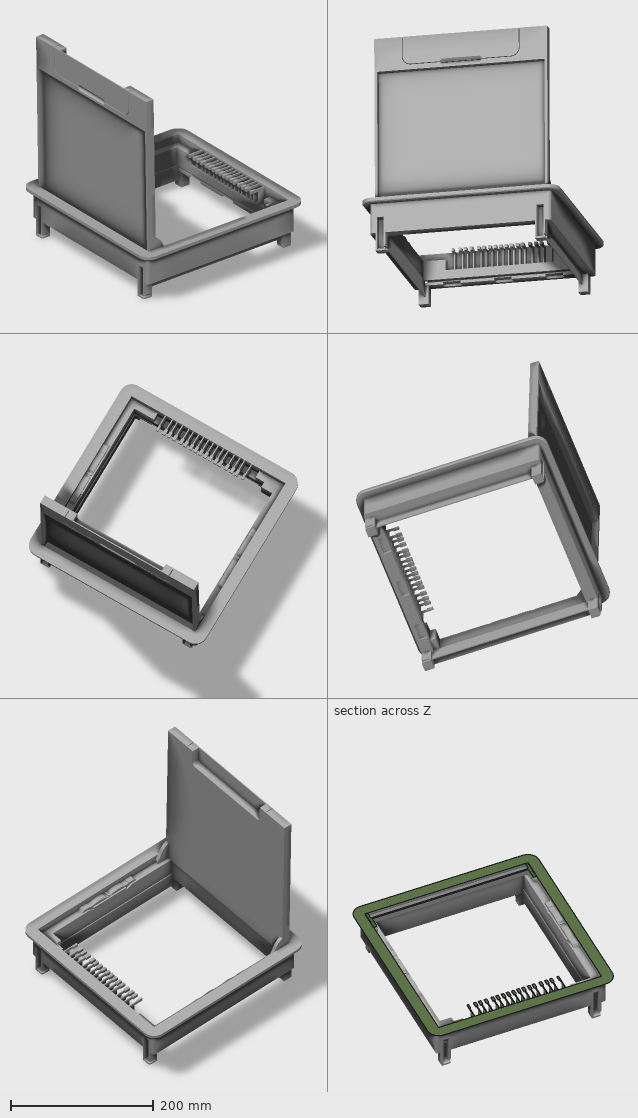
import cadquery as cq

flange_size = 285.97
flange_corner_radius = 17.5
flange_thickness = 6.0
flange_chamfer = 1.4
box_width = 262.8
box_depth = 263.8
box_corner_radius = 4.5
box_bottom = -49.2
opening_size = 251.0

ledge_top = -13.0
ledge_window = 229.6
corner_block_x = 97.0
corner_block_y = 106.5

rail_inner_x = 113.2
rail_length = 236.0
rail_bottom = -64.7

comb_half_width = 83.0
comb_floor = -28.5
tooth_places = (0, 8, 15.8, 24.5, 31.8, 42.3, 51.2, 58.8)
end_tooth_place = 70.2
tooth_top = -1.6
arm_height = 4.7
stem_width = 1.6
head_overhang = 1.45
head_back_y = 109.0
head_front_y = 100.3

groove_top = -41.5
groove_floor = -45.3
groove_depth = 8.0
lip_bottom = -45.9
tab_pitch = 74.4
tab_count = 4
tab_length = 49.0

foot_bottom = -75.5
foot_centre_x = 115.9
foot_width = 14.4
foot_depth = 14.0
foot_wall = 2.3
foot_groove_width = 9.8
foot_groove_depth = 11.8
foot_groove_top = -25.9
foot_floor = 2.7
foot_window_height = 3.6
foot_round_radius = 3.0
foot_round_height = 8.9

bumper_inner_x = 117.0
bumper_half_length = 50.2
bumper_height = 4.0
bumper_end_slope = 3.7
bumper_step_y = 36.0
bumper_step_drop = 1.0
hump_start_y = 5.7
hump_end_y = 29.0
hump_rise = 1.8
valley_half_width = 3.2
valley_drop = 2.0
rib_half_width = 1.0
notch_start_y = 30.2
notch_end_y = 40.0
notch_depth = 4.0

lid_width = 250.8
lid_thickness = 13.0
lid_height = 252.22
lid_tilt = 1.0
lid_outer_y = -125.2
carpet_margin = 3.9
carpet_top = 203.5
carpet_depth = 9.8
ear_width = 5.2
ear_top_height = 30.0
ear_bulge = (20.4, 24.6)
ear_brow = (26.4, 14.4)
ear_nose_y = 32.1
ear_nose_height = 5.0

seat_half_width = 85.3
seat_bottom = 210.8
seat_corner_radius = 12.5
seat_depth = 11.0
flap_gap = 1.0
tray_half_width = 74.7
tray_bottom = 222.2
tray_corner_radius = 5.0
tray_wall = 2.4
tray_web = 1.5
finger_slot_length = 61.0
finger_slot_height = 8.6
finger_slot_depth = 4.0
finger_slot_taper = 40.0


def box(x_min, x_max, y_min, y_max, z_min, z_max):
    """Block between two opposite corners."""
    size = (x_max - x_min, y_max - y_min, z_max - z_min)
    return cq.Workplane("XY").box(*size, centered=False).translate((x_min, y_min, z_min))


def square_block(size, z_min, z_max):
    """Square block centred on the Z axis."""
    half = size / 2
    return box(-half, half, -half, half, z_min, z_max)


def make_shell():
    """Flange and box walls with the ledge that carries the closed lid."""
    flange = square_block(flange_size, -flange_thickness, 0)
    flange = flange.edges("|Z").fillet(flange_corner_radius)
    flange = flange.faces("<Z").edges().chamfer(flange_chamfer)
    half_width = box_width / 2
    half_depth = box_depth / 2
    walls = box(-half_width, half_width, -half_depth, half_depth, box_bottom, -flange_thickness)
    walls = walls.edges("|Z").fillet(box_corner_radius)
    shell = flange.union(walls)
    shell = shell.cut(square_block(opening_size, ledge_top, 0))
    return shell.cut(square_block(ledge_window, box_bottom, ledge_top))


def make_corner_block():
    """Block that widens the ledge in the back right corner."""
    outer = (ledge_window + opening_size) / 4
    return box(corner_block_x, outer, corner_block_y, outer, groove_top, ledge_top)


def make_rails():
    """Thin rails below the left and right ledges."""
    window_x = ledge_window / 2
    rail = box(rail_inner_x, window_x, -rail_length / 2, rail_length / 2, rail_bottom, groove_top)
    return rail.union(rail.mirror("YZ"))


def cut_back_ledge(frame):
    """Comb trough, groove and bottom notches along the back ledge."""
    front_y = ledge_window / 2
    wall_y = opening_size / 2
    trough = box(-comb_half_width, comb_half_width, front_y, wall_y, comb_floor, ledge_top)
    groove = box(-front_y, front_y, front_y, front_y + groove_depth, groove_floor, groove_top)
    notches = box(-front_y, front_y, front_y, wall_y, box_bottom, lip_bottom)
    first_start = -(tab_pitch * (tab_count - 1) + tab_length) / 2
    for number in range(tab_count):
        start = first_start + number * tab_pitch
        notches = notches.cut(box(start, start + tab_length, front_y, wall_y, box_bottom, lip_bottom))
    return frame.cut(trough).cut(groove).cut(notches)


def make_tooth(x, outer_overhang):
    """Comb tooth: a thin upright plate across the trough and an arm in front with a wider head."""
    wall_y = opening_size / 2
    front_y = ledge_window / 2
    left = x - stem_width / 2
    right = x + stem_width / 2
    arm_bottom = tooth_top - arm_height
    root = box(left, right, front_y, wall_y, comb_floor, tooth_top)
    arm = box(left, right, head_front_y, wall_y, arm_bottom, tooth_top)
    head_left = left - head_overhang
    head_right = right + outer_overhang
    head = box(head_left, head_right, head_front_y, head_back_y, arm_bottom, tooth_top)
    return root.union(arm).union(head)


def add_comb(frame):
    """Teeth mirrored about the middle of the back wall; the end teeth have one-sided heads."""
    teeth = [make_tooth(x, head_overhang) for x in tooth_places]
    teeth.append(make_tooth(end_tooth_place, 0))
    for tooth in teeth:
        frame = frame.union(tooth).union(tooth.mirror("YZ"))
    return frame


def foot_ranges():
    """Left side, right side, front and back of the front right foot."""
    left = foot_centre_x - foot_width / 2
    front = -box_depth / 2
    return left, left + foot_width, front, front + foot_depth


def make_foot_block():
    """Front right foot, with its outer corner rounded low down on the window side."""
    left, right, front, back = foot_ranges()
    round_top = foot_bottom + foot_round_height
    lower = box(left, right, front, back, foot_bottom, round_top)
    lower = lower.edges("|Z and >X and <Y").fillet(foot_round_radius)
    return lower.union(box(left, right, front, back, round_top, box_bottom))


def make_foot_groove():
    """Groove in the outer face of the front right foot, with a window at its lower end."""
    left, right, front, _ = foot_ranges()
    groove_left = left + foot_wall
    groove_right = groove_left + foot_groove_width
    groove_back = front + foot_groove_depth
    floor = foot_bottom + foot_floor
    groove = box(groove_left, groove_right, front, groove_back, floor, foot_groove_top)
    window = box(groove_left, right, front, groove_back, floor, floor + foot_window_height)
    return groove.union(window)


def add_feet(frame):
    """Two front feet, and the same pair turned half way round for the back."""
    spacing = (-2 * foot_centre_x, 0, 0)
    for cutting, tool in ((False, make_foot_block()), (True, make_foot_groove())):
        pair = tool.union(tool.translate(spacing))
        feet = pair.union(pair.rotate((0, 0, 0), (0, 0, 1), 180))
        frame = frame.cut(feet) if cutting else frame.union(feet)
    return frame


def make_bumper():
    """Strip on the right ledge: sloped ends and two rounded humps beside a ribbed valley."""
    top = ledge_top + bumper_height
    shoulder = top - bumper_step_drop
    valley = shoulder - valley_drop
    hump_middle = (hump_start_y + hump_end_y) / 2
    half = (
        cq.Workplane("YZ")
        .moveTo(0, ledge_top)
        .lineTo(bumper_half_length, ledge_top)
        .lineTo(bumper_half_length - bumper_end_slope, top)
        .lineTo(bumper_step_y, top)
        .lineTo(bumper_step_y, shoulder)
        .lineTo(hump_end_y, shoulder)
        .threePointArc((hump_middle, shoulder + hump_rise), (hump_start_y, shoulder))
        .lineTo(valley_half_width, valley)
        .lineTo(rib_half_width, valley)
        .lineTo(rib_half_width, shoulder)
        .lineTo(0, shoulder)
        .close()
        .extrude(opening_size / 2 - bumper_inner_x)
        .translate((bumper_inner_x, 0, 0))
    )
    return half.union(half.mirror("XZ"))


def make_ledge_notches():
    """Ramped notches in the rim of the right ledge, deepest toward the middle."""
    rim_width = bumper_inner_x - ledge_window / 2
    notch = (
        cq.Workplane("YZ")
        .moveTo(notch_start_y, ledge_top)
        .lineTo(notch_end_y, ledge_top)
        .lineTo(notch_start_y, ledge_top - notch_depth)
        .close()
        .extrude(rim_width)
        .translate((ledge_window / 2, 0, 0))
    )
    return notch.union(notch.mirror("XZ"))


def make_frame():
    frame = make_shell().union(make_rails())
    frame = cut_back_ledge(frame).union(make_corner_block())
    frame = add_comb(frame)
    frame = add_feet(frame)
    notches = make_ledge_notches()
    frame = frame.cut(notches).cut(notches.mirror("YZ"))
    bumper = make_bumper()
    return frame.union(bumper).union(bumper.mirror("YZ"))


def stand_open(body):
    """Move an upright lid part to its leaning place on the front ledge."""
    leaning = body.rotate((0, 0, 0), (1, 0, 0), lid_tilt)
    return leaning.translate((0, lid_outer_y, ledge_top))


def open_top_plate(half_width, bottom, radius, y_min, y_max):
    """Plate up to the top of the lid with two rounded lower corners."""
    plate = box(-half_width, half_width, y_min, y_max, bottom, lid_height)
    return plate.faces("<Z").edges("|Y").fillet(radius)


def make_finger_slot():
    """Tapered finger recess over the joint between flap and lid."""
    centre = cq.Plane(origin=(0, 0, seat_bottom + flap_gap / 2), xDir=(-1, 0, 0), normal=(0, 1, 0))
    slot = cq.Workplane(centre).slot2D(finger_slot_length, finger_slot_height)
    return slot.extrude(finger_slot_depth, taper=finger_slot_taper)


def make_tray(y_min, y_max):
    """Solid block bounded by the inner edge of the flap."""
    return open_top_plate(tray_half_width, tray_bottom, tray_corner_radius, y_min, y_max)


def make_ears():
    """Hinge ears on the inner face at both lower corners of the lid."""
    ear = (
        cq.Workplane("YZ")
        .moveTo(0, 0)
        .lineTo(ear_nose_y, 0)
        .lineTo(ear_nose_y, ear_nose_height)
        .lineTo(*ear_brow)
        .threePointArc(ear_bulge, (lid_thickness, ear_top_height))
        .lineTo(0, ear_top_height)
        .close()
        .extrude(ear_width)
        .translate((lid_width / 2 - ear_width, 0, 0))
    )
    return ear.union(ear.mirror("YZ"))


def make_lid():
    half_width = lid_width / 2
    lid = box(-half_width, half_width, 0, lid_thickness, 0, lid_height)
    lid = lid.union(make_ears())
    carpet_half = half_width - carpet_margin
    lid = lid.cut(box(-carpet_half, carpet_half, 0, carpet_depth, carpet_margin, carpet_top))
    seat = open_top_plate(seat_half_width, seat_bottom, seat_corner_radius, 0, seat_depth)
    lid = lid.cut(seat.cut(make_tray(0, seat_depth)))
    pocket = open_top_plate(
        tray_half_width - tray_wall, tray_bottom + tray_wall, tray_corner_radius, tray_web, lid_thickness
    )
    return stand_open(lid.cut(pocket).cut(make_finger_slot()))


def make_flap():
    """U-shaped cable flap that wraps round the tray."""
    flap = open_top_plate(
        seat_half_width - flap_gap, seat_bottom + flap_gap, seat_corner_radius - flap_gap, 0, seat_depth
    )
    return stand_open(flap.cut(make_tray(0, seat_depth)).cut(make_finger_slot()))


frame = make_frame()
lid = make_lid()
flap = make_flap()

result = cq.Compound.makeCompound([frame.val(), lid.val(), flap.val()])